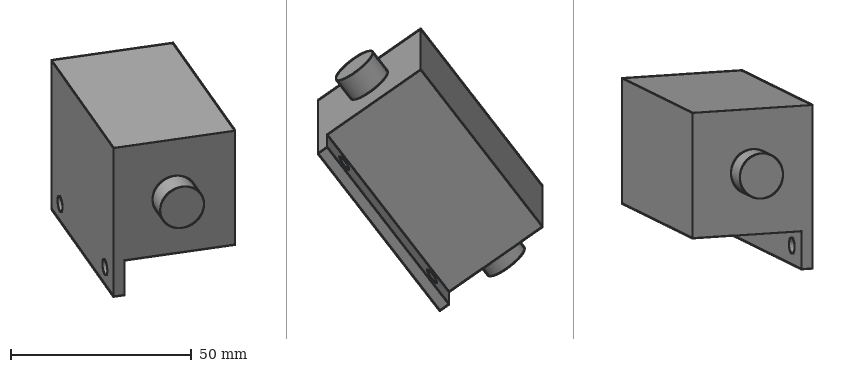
import cadquery as cq

total_length = 71.0
body_length = 56.95
body_width = 35.3
total_height = 46.0
body_height = body_width

stub_diameter = 12.7

flange_thickness = 3.2
hole_diameter = 4.5
hole_spacing = 41.0
hole_height = 5.3

body_bottom = total_height - body_height
body_center_z = body_bottom + body_height / 2
front_y = -body_width / 2

body = cq.Workplane("XY", origin=(0, 0, body_bottom)).box(
    body_length, body_width, body_height, centered=(True, True, False)
)

flange = cq.Workplane("XY", origin=(0, front_y, 0)).box(
    body_length, flange_thickness, total_height, centered=(True, False, False)
)

stubs = (
    cq.Workplane("YZ", origin=(0, 0, body_center_z))
    .circle(stub_diameter / 2)
    .extrude(total_length / 2, both=True)
)

holes = (
    cq.Workplane("XZ", origin=(0, front_y, hole_height))
    .pushPoints([(-hole_spacing / 2, 0), (hole_spacing / 2, 0)])
    .circle(hole_diameter / 2)
    .extrude(-flange_thickness)
)

result = body.union(flange).union(stubs).cut(holes)